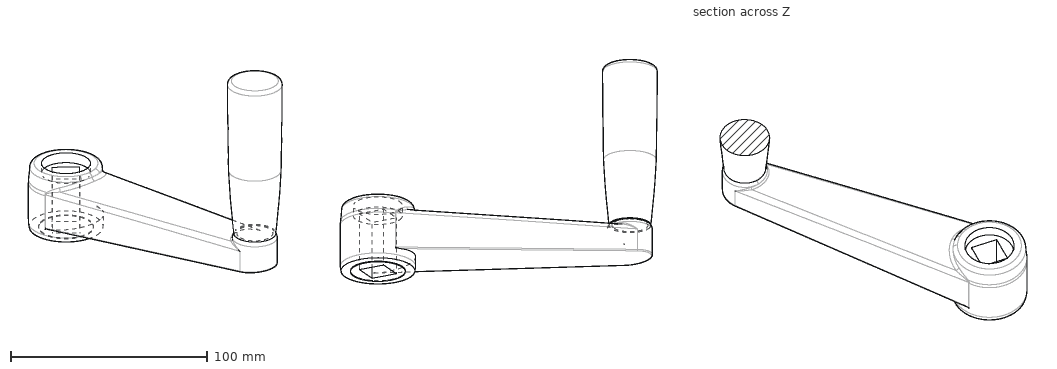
import math

import cadquery as cq


HUB_DIAMETER = 38.5
HUB_TOP = 36.0
HUB_TOP_ROUND = 2.3
HUB_CONE_START = 26.2
HUB_DRAFT_ANGLE = 5.0
HUB_CONE_EASE = 1.05
HUB_BASE = 0.4
HUB_BASE_CHAMFER_WIDTH = 0.4
HUB_BASE_CHAMFER_HEIGHT = 2.5
SEAT_RING_DIAMETER = 28.0
RECESS_DIAMETER = 25.0
RECESS_DEPTH = 5.5
SQUARE_SIDE = 14.0
SQUARE_TURN = 45.0

GRIP_OFFSET = 134.37
BOSS_DIAMETER = 23.0
BOSS_TOP = 40.4
BOSS_TOP_ROUND = 2.3
ARM_SIDE_ANGLE = 3.23
ARM_BOTTOM_START = 5.9
ARM_BOTTOM_ANGLE = 7.0
ARM_CROWN_START = 31.7
ARM_CROWN_ANGLE = 2.72
ARM_CROWN_RADIUS = 45.0
ARM_EDGE_ROUND = 3.0
ARM_BOTTOM_ROUND = 0.6
HUB_BLEND = 2.0
BOSS_BLEND = 1.0
BOSS_JOINT_DEPTH = 6.0

GRIP_TOP = 126.15
GRIP_NECK_DIAMETER = 21.4
GRIP_WAIST_DIAMETER = 27.0
GRIP_WAIST_HEIGHT = 76.0
GRIP_MIDDLE_DIAMETER = 27.75
GRIP_TOP_DIAMETER = 28.0
GRIP_TOP_ROUND = 2.0
GRIP_NECK_BULGE = 0.3

ENVELOPE = 80.0


def make_hub():
    """Cylinder easing into a drafted upper cone, with a thin seat ring underneath."""
    hub_radius = HUB_DIAMETER / 2
    draft = math.radians(HUB_DRAFT_ANGLE)
    top_radius = hub_radius - (HUB_TOP - HUB_CONE_START) * math.tan(draft)
    base_radius = hub_radius - HUB_BASE_CHAMFER_WIDTH
    blend_end_radius = hub_radius - HUB_CONE_EASE * math.sin(draft)
    blend_end_height = HUB_CONE_START + HUB_CONE_EASE * math.cos(draft)
    profile = (
        cq.Workplane("XZ")
        .moveTo(0, HUB_BASE)
        .lineTo(base_radius, HUB_BASE)
        .lineTo(hub_radius, HUB_BASE + HUB_BASE_CHAMFER_HEIGHT)
        .lineTo(hub_radius, HUB_CONE_START - HUB_CONE_EASE)
        .tangentArcPoint((blend_end_radius, blend_end_height), relative=False)
        .lineTo(top_radius, HUB_TOP)
        .lineTo(0, HUB_TOP)
        .close()
    )
    hub = profile.revolve(360, (0, 0, 0), (0, 1, 0))
    seat_ring = cq.Workplane("XY").circle(SEAT_RING_DIAMETER / 2).extrude(HUB_BASE)
    return hub.union(seat_ring)


def make_plan_prisms():
    """Upright tapered wedge and round boss; the wedge sides run tangent into the boss."""
    angle = math.radians(ARM_SIDE_ANGLE)
    boss_radius = BOSS_DIAMETER / 2
    tangent_x = GRIP_OFFSET + boss_radius * math.sin(angle)
    tangent_y = boss_radius * math.cos(angle)
    root_y = tangent_y + tangent_x * math.tan(angle)
    wedge = (
        cq.Workplane("XY")
        .polyline([(0, -root_y), (tangent_x, -tangent_y), (tangent_x, tangent_y), (0, root_y)])
        .close()
        .extrude(BOSS_TOP)
    )
    boss = cq.Workplane("XY").center(GRIP_OFFSET, 0).circle(boss_radius).extrude(BOSS_TOP)
    return wedge, boss


def make_space_below_arm():
    """Everything under the sloping underside of the arm and boss."""
    return (
        cq.Workplane("XY")
        .box(4 * GRIP_OFFSET, ENVELOPE, ENVELOPE)
        .translate((0, 0, ARM_BOTTOM_START - ENVELOPE / 2))
        .rotate((0, 0, ARM_BOTTOM_START), (0, 1, ARM_BOTTOM_START), -ARM_BOTTOM_ANGLE)
    )


def make_arm():
    """Tapered arm with a crowned, edge-rounded top, ending in the boss below the grip."""
    wedge, boss = make_plan_prisms()
    crown = (
        cq.Workplane("YZ")
        .center(0, ARM_CROWN_START - ARM_CROWN_RADIUS)
        .circle(ARM_CROWN_RADIUS)
        .extrude(2 * GRIP_OFFSET, both=True)
        .rotate((0, 0, ARM_CROWN_START), (0, 1, ARM_CROWN_START), -ARM_CROWN_ANGLE)
    )
    wedge = wedge.intersect(crown)
    wedge = wedge.faces("<Y or >Y").edges(">Z").fillet(ARM_EDGE_ROUND)
    return wedge.union(boss).cut(make_space_below_arm())


def round_arm_bottom(body):
    """Round the arm's lower edges, from the hub wall outward and around the boss."""
    wedge, boss = make_plan_prisms()
    sharp = wedge.union(boss).cut(make_space_below_arm())
    rounded = sharp.faces("<Z").edges("not <X").fillet(ARM_BOTTOM_ROUND)
    hub_keep = cq.Workplane("XY").circle(HUB_DIAMETER / 2).extrude(BOSS_TOP)
    return body.cut(sharp.cut(rounded).cut(hub_keep))


def make_grip():
    """Barrel grip standing on the boss, with a slim neck below its waist."""
    neck_radius = GRIP_NECK_DIAMETER / 2
    waist_radius = GRIP_WAIST_DIAMETER / 2
    neck_middle = (
        (neck_radius + waist_radius) / 2 + GRIP_NECK_BULGE,
        (BOSS_TOP + GRIP_WAIST_HEIGHT) / 2,
    )
    barrel_middle = (GRIP_MIDDLE_DIAMETER / 2, (GRIP_WAIST_HEIGHT + GRIP_TOP) / 2)
    profile = (
        cq.Workplane("YZ")
        .moveTo(0, BOSS_TOP)
        .lineTo(neck_radius, BOSS_TOP)
        .threePointArc(neck_middle, (waist_radius, GRIP_WAIST_HEIGHT))
        .threePointArc(barrel_middle, (GRIP_TOP_DIAMETER / 2, GRIP_TOP))
        .lineTo(0, GRIP_TOP)
        .close()
    )
    grip = profile.revolve(360, (0, 0, 0), (0, 1, 0))
    return grip.faces(">Z").edges().fillet(GRIP_TOP_ROUND).translate((GRIP_OFFSET, 0, 0))


def cut_socket(body):
    """Round recess in the hub top and the square socket through the hub."""
    recess = cq.Workplane("XY").workplane(offset=HUB_TOP - RECESS_DEPTH).circle(RECESS_DIAMETER / 2)
    socket = cq.Workplane("XY").rect(SQUARE_SIDE, SQUARE_SIDE).extrude(HUB_TOP)
    socket = socket.rotate((0, 0, 0), (0, 0, 1), SQUARE_TURN)
    return body.cut(recess.extrude(RECESS_DEPTH)).cut(socket)


def edges_within(body, x_range, z_range):
    """Edges whose centres lie in the given X and Z ranges."""
    low = (x_range[0], -ENVELOPE, z_range[0])
    high = (x_range[1], ENVELOPE, z_range[1])
    return body.edges(cq.selectors.BoxSelector(low, high))


def blend_joints(body):
    """Blend the arm's top into the hub and the boss, then round the hub and boss tops."""
    boss_span = (GRIP_OFFSET - BOSS_DIAMETER / 2, GRIP_OFFSET + BOSS_DIAMETER / 2)
    boss_joint_heights = (BOSS_TOP - BOSS_JOINT_DEPTH, BOSS_TOP - BOSS_TOP_ROUND)
    body = edges_within(body, boss_span, boss_joint_heights).fillet(BOSS_BLEND)
    body = body.faces(">Z").edges().fillet(BOSS_TOP_ROUND)

    hub_joint_heights = (HUB_CONE_START, HUB_TOP - HUB_TOP_ROUND)
    body = edges_within(body, (0, HUB_DIAMETER / 2), hub_joint_heights).fillet(HUB_BLEND)
    hub_rim = cq.selectors.NearestToPointSelector((0, 0, HUB_TOP))
    return body.faces(hub_rim).edges().fillet(HUB_TOP_ROUND)


crank = blend_joints(make_hub().union(make_arm()))
crank = round_arm_bottom(crank)
result = cut_socket(crank).union(make_grip())